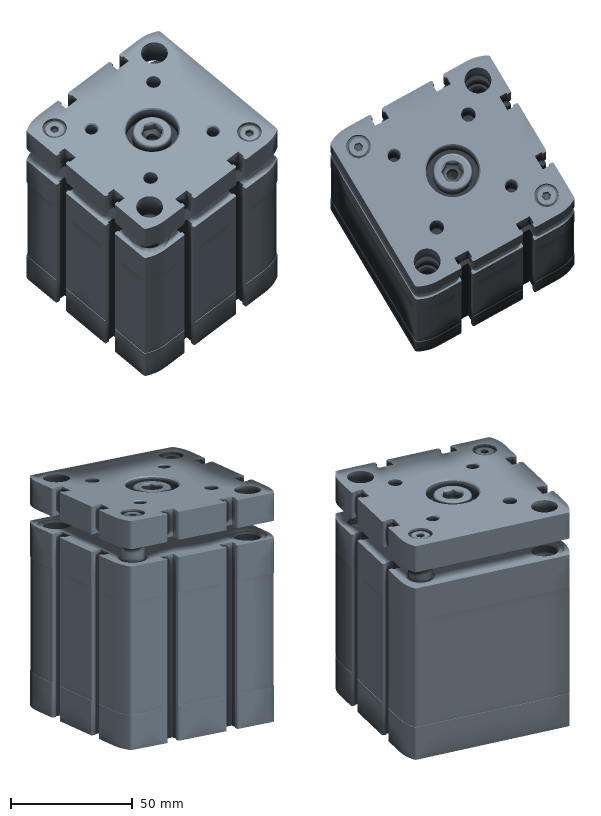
import cadquery as cq
import math

WIDTH = 75.5
HEIGHT = 98.5
PLATE_THICKNESS = 12.0
HOUSING_HEIGHT = 79.0
CAP_HEIGHT = 15.0
TUBE_INSET = 0.2

CORNER_START = 28.5
CORNER_RADIUS = 18.0
CORNER_FILLET = 1.3

SLOT_OFFSET = 14.6
SLOT_MOUTH = 5.2
SLOT_WIDTH = 6.6
SLOT_DEPTH = 5.2
SLOT_LIP = 1.9
SLOT_CHAMFER = 0.4

CORNER_PITCH = 28.3
GUIDE_CORNERS = [(CORNER_PITCH, CORNER_PITCH), (-CORNER_PITCH, -CORNER_PITCH)]
SCREW_CORNERS = [(-CORNER_PITCH, CORNER_PITCH), (CORNER_PITCH, -CORNER_PITCH)]

GUIDE_DIAMETER = 10.0
GUIDE_LENGTH = 59.1
GUIDE_BUSH_DIAMETER = 12.0
GUIDE_BUSH_DEPTH = 0.5
GUIDE_RECESS_DEPTH = 1.5
GUIDE_END_DIAMETER = 8.5
GUIDE_END_DROP = 0.8
GUIDE_END_CHAMFER = 0.5
GUIDE_HEX = 3.3
GUIDE_HEX_DEPTH = 2.0
GUIDE_HEX_TURN = 15.0

ROD_DIAMETER = 16.0
ROD_LENGTH = 59.1
ROD_DROP = 1.0
ROD_ROUND = 1.0
ROD_FLATS = 12.8
ROD_FLAT_CLEARANCE = 1.3
ROD_HEX = 8.0
ROD_HEX_DEPTH = 3.9
ROD_HEX_CHAMFER_DIAMETER = 9.7
ROD_CORE_DIAMETER = 4.9
ROD_CORE_DEPTH = 7.9
CONE_HALF_ANGLE = 59.0

PILOT_DIAMETER = 22.0
PILOT_DEPTH = 7.0
PILOT_CHAMFER = 0.5
ACCESS_DIAMETER = 11.0
PLATE_HOLE_PITCH = 17.6
TAPPED_DIAMETER = 5.0
TAPPED_MOUTH_DIAMETER = 6.0
DOWEL_DIAMETER = 6.0

SEAT_DIAMETER = 15.5
SEAT_MOUTH_DIAMETER = 16.4
SEAT_DEPTH = 0.5
HEAD_DIAMETER = 10.6
HEAD_MOUTH_DIAMETER = 12.0
HEAD_DEPTH = 4.5
SCREW_MOUTH_DIAMETER = 8.6
SCREW_DIAMETER = 6.6

PLATE_BOTTOM = HEIGHT - PLATE_THICKNESS


def cone(bottom_radius, top_radius, bottom, top):
    """Cone or truncated cone on the Z axis."""
    return cq.Workplane(
        cq.Solid.makeCone(bottom_radius, top_radius, top - bottom, cq.Vector(0, 0, bottom))
    )


def cylinder(diameter, bottom, top):
    """Upright cylinder on the Z axis."""
    return cq.Workplane("XY").workplane(offset=bottom).circle(diameter / 2).extrude(top - bottom)


def hexagon(across_flats, bottom, top):
    """Hexagonal prism with corners on the X axis."""
    across_corners = across_flats / math.cos(math.pi / 6)
    return cq.Workplane("XY").workplane(offset=bottom).polygon(6, across_corners).extrude(top - bottom)


def block(bottom, top, inset=0.0):
    """Square prism whose corners are long arcs, rounded where they meet the Y faces."""
    half = WIDTH / 2 - inset
    radius = CORNER_RADIUS - inset
    rise = half - CORNER_START
    corner_x = half - radius + math.sqrt(radius**2 - rise**2)
    middle = math.asin(rise / radius) / 2
    mid_x = half - radius + radius * math.cos(middle)
    mid_y = CORNER_START + radius * math.sin(middle)
    outline = (
        cq.Workplane("XY")
        .workplane(offset=bottom)
        .moveTo(half, -CORNER_START)
        .lineTo(half, CORNER_START)
        .threePointArc((mid_x, mid_y), (corner_x, half))
        .lineTo(-corner_x, half)
        .threePointArc((-mid_x, mid_y), (-half, CORNER_START))
        .lineTo(-half, -CORNER_START)
        .threePointArc((-mid_x, -mid_y), (-corner_x, -half))
        .lineTo(corner_x, -half)
        .threePointArc((mid_x, -mid_y), (half, -CORNER_START))
        .close()
        .extrude(top - bottom)
    )
    return outline.edges("|Z and (>Y or <Y)").fillet(CORNER_FILLET)


def slot_cutters(bottom, top):
    """Two T-slots in each of the +X, -X and -Y sides, with chamfered mouths."""
    half = WIDTH / 2
    pocket_start = half - SLOT_LIP
    floor = half - SLOT_DEPTH
    half_mouth = SLOT_MOUTH / 2
    half_width = SLOT_WIDTH / 2
    slot = (
        cq.Workplane("XY")
        .workplane(offset=bottom)
        .polyline([
            (half, half_mouth + SLOT_CHAMFER),
            (half - SLOT_CHAMFER, half_mouth),
            (pocket_start, half_mouth),
            (pocket_start, half_width),
            (floor, half_width),
            (floor, 0),
            (half, 0),
        ])
        .close()
        .extrude(top - bottom)
    )
    slot = slot.union(slot.mirror("XZ"))
    cutters = cq.Workplane("XY")
    for turn in (0, 180, 270):
        for side in (-SLOT_OFFSET, SLOT_OFFSET):
            placed = slot.translate((0, side, 0)).rotate((0, 0, 0), (0, 0, 1), turn)
            cutters = cutters.add(placed)
    return cutters.combine()


def at(points, solid):
    """Copies of a solid moved to each XY point."""
    copies = cq.Workplane("XY")
    for x, y in points:
        copies = copies.add(solid.translate((x, y, 0)))
    return copies.combine()


def make_rod():
    """Piston rod with a rounded end and two wrench flats that run out at 45 degrees."""
    top = HEIGHT - ROD_DROP
    rod = cylinder(ROD_DIAMETER, top - ROD_LENGTH, top).faces(">Z").edges().fillet(ROD_ROUND)
    flat_bottom = HOUSING_HEIGHT + ROD_FLAT_CLEARANCE
    runout = (ROD_DIAMETER - ROD_FLATS) / 2
    half = ROD_FLATS / 2
    flat = (
        cq.Workplane("YZ")
        .polyline([
            (half, flat_bottom),
            (half + runout, flat_bottom - runout),
            (half + runout, PLATE_BOTTOM),
            (half, PLATE_BOTTOM),
        ])
        .close()
        .extrude(ROD_DIAMETER / 2, both=True)
    )
    return rod.cut(flat).cut(flat.mirror("XZ"))


def rod_socket():
    """Chamfered hexagon socket with a conical floor and a core hole below it."""
    top = HEIGHT - ROD_DROP
    hex_bottom = top - ROD_HEX_DEPTH
    slope = 1 / math.tan(math.radians(CONE_HALF_ANGLE))
    hex_radius = ROD_HEX / 2
    core_radius = ROD_CORE_DIAMETER / 2
    mouth_radius = ROD_HEX_CHAMFER_DIAMETER / 2
    core_bottom = top - ROD_CORE_DEPTH
    socket = hexagon(ROD_HEX, hex_bottom, top)
    socket = socket.union(cone(0, hex_radius, hex_bottom - hex_radius * slope, hex_bottom))
    socket = socket.union(cylinder(ROD_CORE_DIAMETER, core_bottom, hex_bottom))
    socket = socket.union(cone(0, core_radius, core_bottom - core_radius * slope, core_bottom))
    return socket.union(cone(hex_radius, mouth_radius, top - (mouth_radius - hex_radius), top))


def make_guide():
    """Guide rod with a reduced, chamfered end and a hexagon socket."""
    top = HEIGHT - GUIDE_END_DROP
    shank_top = HEIGHT - GUIDE_RECESS_DEPTH
    end = cylinder(GUIDE_END_DIAMETER, shank_top, top).faces(">Z").chamfer(GUIDE_END_CHAMFER)
    guide = cylinder(GUIDE_DIAMETER, top - GUIDE_LENGTH, shank_top).union(end)
    socket = hexagon(GUIDE_HEX, top - GUIDE_HEX_DEPTH, top).rotate((0, 0, 0), (0, 0, 1), GUIDE_HEX_TURN)
    return guide.cut(socket)


def plate_holes():
    """Access holes, guide rod seats, two tapped holes and two dowel holes of the plate."""
    p = PLATE_HOLE_PITCH
    chamfer = (TAPPED_MOUTH_DIAMETER - TAPPED_DIAMETER) / 2
    tapped = cylinder(TAPPED_DIAMETER, PLATE_BOTTOM, HEIGHT).union(
        cone(TAPPED_DIAMETER / 2, TAPPED_MOUTH_DIAMETER / 2, HEIGHT - chamfer, HEIGHT)
    )
    holes = at(SCREW_CORNERS, cylinder(ACCESS_DIAMETER, PLATE_BOTTOM, HEIGHT))
    holes = holes.union(at(GUIDE_CORNERS, cylinder(GUIDE_DIAMETER, PLATE_BOTTOM, HEIGHT)))
    holes = holes.union(at([(p, p), (-p, -p)], tapped))
    return holes.union(at([(-p, p), (p, -p)], cylinder(DOWEL_DIAMETER, PLATE_BOTTOM, HEIGHT)))


def pilot_recess():
    """Chamfered round recess in the top of the plate."""
    radius = PILOT_DIAMETER / 2
    recess = cylinder(PILOT_DIAMETER, HEIGHT - PILOT_DEPTH, HEIGHT)
    return recess.union(cone(radius, radius + PILOT_CHAMFER, HEIGHT - PILOT_CHAMFER, HEIGHT))


def make_piston():
    """Moving body: plate, piston rod and guide rods."""
    plate = block(PLATE_BOTTOM, HEIGHT).cut(slot_cutters(PLATE_BOTTOM, HEIGHT))
    plate = plate.cut(pilot_recess()).cut(plate_holes())
    return plate.union(make_rod()).cut(rod_socket()).union(at(GUIDE_CORNERS, make_guide()))


def screw_seat():
    """Through hole with a countersink, a head bore and a shallow tapered seat on top."""
    slope = (SCREW_MOUTH_DIAMETER - SCREW_DIAMETER) / 2
    head_floor = HOUSING_HEIGHT - HEAD_DEPTH
    seat = cylinder(SCREW_DIAMETER, 0, head_floor)
    seat = seat.union(cone(SCREW_DIAMETER / 2, SCREW_MOUTH_DIAMETER / 2, head_floor - slope, head_floor))
    seat = seat.union(cylinder(HEAD_DIAMETER, head_floor, HOUSING_HEIGHT))
    seat_floor = HOUSING_HEIGHT - SEAT_DEPTH
    chamfer = (HEAD_MOUTH_DIAMETER - HEAD_DIAMETER) / 2
    seat = seat.union(
        cone(HEAD_DIAMETER / 2, HEAD_MOUTH_DIAMETER / 2, seat_floor - chamfer, seat_floor)
    )
    return seat.union(cone(SEAT_DIAMETER / 2, SEAT_MOUTH_DIAMETER / 2, seat_floor, HOUSING_HEIGHT))


def make_housing():
    """Fixed body: two end caps, the slightly smaller tube between them and all the bores."""
    cap_bottom = HOUSING_HEIGHT - CAP_HEIGHT
    housing = block(0, CAP_HEIGHT).union(block(CAP_HEIGHT, cap_bottom, TUBE_INSET))
    housing = housing.union(block(cap_bottom, HOUSING_HEIGHT)).cut(slot_cutters(0, HOUSING_HEIGHT))
    rod_bottom = HEIGHT - ROD_DROP - ROD_LENGTH
    housing = housing.cut(cylinder(ROD_DIAMETER, rod_bottom, HOUSING_HEIGHT))
    guide_bottom = HEIGHT - GUIDE_END_DROP - GUIDE_LENGTH
    guide_hole = cylinder(GUIDE_DIAMETER, guide_bottom, HOUSING_HEIGHT).union(
        cylinder(GUIDE_BUSH_DIAMETER, HOUSING_HEIGHT - GUIDE_BUSH_DEPTH, HOUSING_HEIGHT)
    )
    return housing.cut(at(GUIDE_CORNERS, guide_hole)).cut(at(SCREW_CORNERS, screw_seat()))


housing = make_housing()
piston = make_piston()
result = cq.Compound.makeCompound([housing.solids().val(), piston.solids().val()])